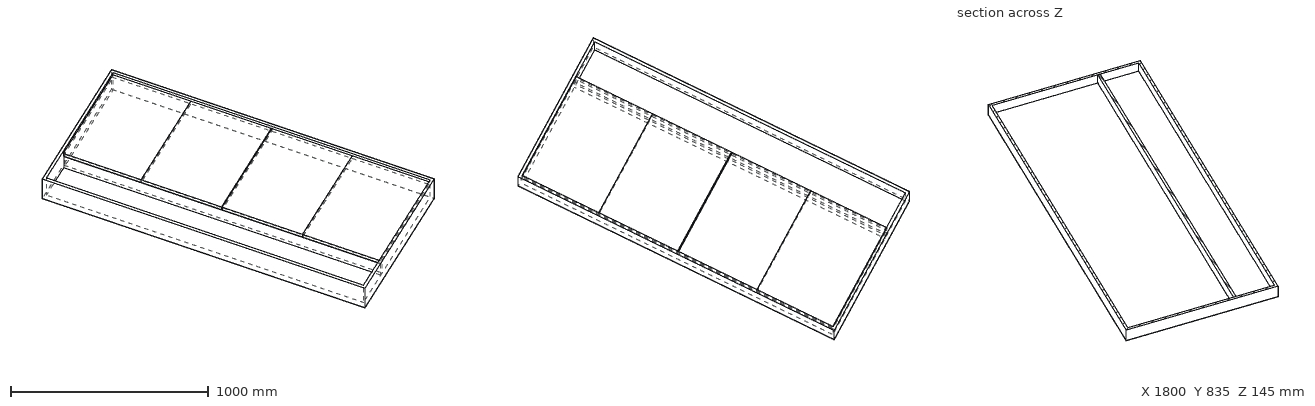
import cadquery as cq

length = 1800.0
width = 835.0
height = 145.0
wall = 16.0
floor_thickness = 18.0

lid_recess = 16.0
lid_thickness = 20.0
lid_front_y = -198.0
lid_pitch = length / 4
side_gap = 0.9
middle_gap = 4.0

partition_thickness = 16.0
partition_setback = 5.0
partition_clearance = 9.0

inner_length = length - 2 * wall
inner_width = width - 2 * wall
lid_top_z = height - lid_recess
lid_bottom_z = lid_top_z - lid_thickness


def block(x_min, x_max, y_min, y_max, z_min, z_max):
    """Rectangular board between the given limits."""
    size = (x_max - x_min, y_max - y_min, z_max - z_min)
    return cq.Workplane("XY").box(*size, centered=False).translate((x_min, y_min, z_min))


def make_tray():
    """Outer box with one open-topped cavity."""
    outer = cq.Workplane("XY").box(length, width, height, centered=(True, True, False))
    cavity = (
        cq.Workplane("XY")
        .workplane(offset=floor_thickness)
        .rect(inner_length, inner_width)
        .extrude(height - floor_thickness)
    )
    return outer.cut(cavity)


def make_partition():
    """Board spanning the tray from side to side, from the floor to just below the lids."""
    front_y = lid_front_y + partition_setback
    return block(
        -inner_length / 2, inner_length / 2,
        front_y, front_y + partition_thickness,
        floor_thickness, lid_bottom_z - partition_clearance,
    )


def make_lid(x_min, x_max):
    """Flat lid reaching from the front edge of the row to the rear wall."""
    return block(x_min, x_max, lid_front_y, inner_width / 2, lid_bottom_z, lid_top_z)


lid_spans = [
    (-inner_length / 2, -lid_pitch - side_gap / 2),
    (-lid_pitch + side_gap / 2, -middle_gap / 2),
    (middle_gap / 2, lid_pitch - side_gap / 2),
    (lid_pitch + side_gap / 2, inner_length / 2),
]

tray = make_tray()
partition = make_partition()
lids = [make_lid(x_min, x_max) for x_min, x_max in lid_spans]

result = cq.Compound.makeCompound([tray.val(), partition.val(), *[lid.val() for lid in lids]])